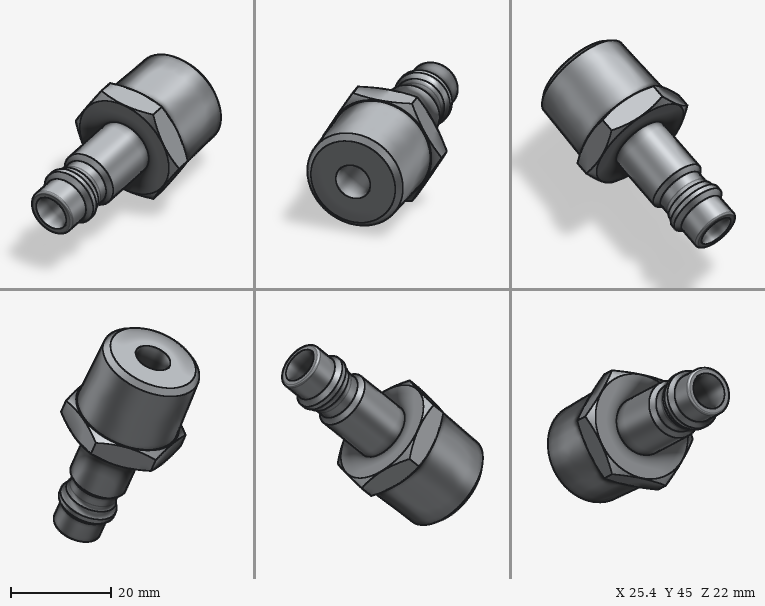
import cadquery as cq
import math

total_length = 45.0
groove_start = 9.8
groove_end = 11.85
shank_start = 12.85
hex_front = 25.0
hex_thickness = 5.0
hex_back = hex_front + hex_thickness

bore_radius = 3.7
tip_radius = 5.0
tip_rounding = 0.45
shank_radius = 6.0
collar_chamfer_start = 4.95
collar_front = 6.05
collar_back = 7.15
knee_station = 8.7
knee_radius = 5.35
knee_front_sag = 0.112
knee_back_sag = 0.1

across_flats = 22.0
corner_diameter = across_flats / math.cos(math.radians(30))
hex_face_radius = 10.95
hex_chamfer_angle = 30.0

thread_end_radius = 10.25
thread_chamfer_length = 1.12
thread_chamfer_depth = 1.2
thread_taper = 1 / 16


def make_nozzle():
    """Revolved nozzle with a locking collar and a groove behind it."""
    profile = (
        cq.Workplane("XY")
        .lineTo(tip_radius - tip_rounding, 0)
        .radiusArc((tip_radius, tip_rounding), -tip_rounding)
        .lineTo(tip_radius, collar_chamfer_start)
        .lineTo(shank_radius, collar_front)
        .lineTo(shank_radius, collar_back)
        .sagittaArc((knee_radius, knee_station), knee_front_sag)
        .sagittaArc((tip_radius, groove_start), knee_back_sag)
        .lineTo(tip_radius, groove_end)
        .lineTo(shank_radius, shank_start)
        .lineTo(shank_radius, hex_back)
        .lineTo(0, hex_back)
        .close()
    )
    return profile.revolve(360, (0, 0), (0, 1))


def make_hexagon():
    """Hexagon with corners on the X axis, its corners bevelled on both faces."""
    corner_radius = corner_diameter / 2
    bevel = (corner_radius - hex_face_radius) * math.tan(math.radians(hex_chamfer_angle))
    prism = (
        cq.Workplane("XZ", origin=(0, hex_front, 0))
        .polygon(6, corner_diameter)
        .extrude(-hex_thickness)
    )
    bevel_envelope = (
        cq.Workplane("XY")
        .moveTo(0, hex_front)
        .lineTo(hex_face_radius, hex_front)
        .lineTo(corner_radius, hex_front + bevel)
        .lineTo(corner_radius, hex_back - bevel)
        .lineTo(hex_face_radius, hex_back)
        .lineTo(0, hex_back)
        .close()
        .revolve(360, (0, 0), (0, 1))
    )
    return prism.intersect(bevel_envelope)


def make_thread_body():
    """Plain cone in place of the thread, chamfered at its free end."""
    chamfer_start = total_length - thread_chamfer_length
    root_radius = thread_end_radius + (chamfer_start - hex_back) * thread_taper / 2
    profile = (
        cq.Workplane("XY")
        .moveTo(0, hex_back)
        .lineTo(root_radius, hex_back)
        .lineTo(thread_end_radius, chamfer_start)
        .lineTo(thread_end_radius - thread_chamfer_depth, total_length)
        .lineTo(0, total_length)
        .close()
    )
    return profile.revolve(360, (0, 0), (0, 1))


bore = cq.Workplane("XZ").circle(bore_radius).extrude(-total_length)
result = make_nozzle().union(make_hexagon()).union(make_thread_body()).cut(bore)